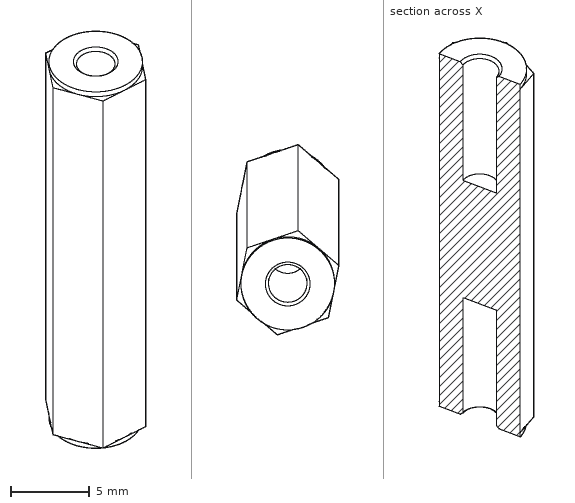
import cadquery as cq
import math

length = 30.0
hex_sides = 6
across_flats = 6.0
boss_height = 0.4
hole_diameter = 2.46
hole_depth = 10.0
hole_chamfer = 0.2

across_corners = across_flats / math.cos(math.pi / hex_sides)
boss_diameter = across_flats
hex_height = length - 2 * boss_height


def standoff_body():
    """Round core over the full length, with the hexagon between the end bosses."""
    core = cq.Workplane("XY").circle(boss_diameter / 2).extrude(length)
    hexagon = (
        cq.Workplane("XY")
        .workplane(offset=boss_height)
        .polygon(hex_sides, across_corners)
        .extrude(hex_height)
    )
    return core.union(hexagon)


def top_hole_cutter():
    """Flat-bottomed hole with a 45 degree chamfer at its mouth in the top face."""
    hole_radius = hole_diameter / 2
    mouth_radius = hole_radius + hole_chamfer
    half_section = [
        (0, length - hole_depth),
        (hole_radius, length - hole_depth),
        (hole_radius, length - hole_chamfer),
        (mouth_radius, length),
        (0, length),
    ]
    return cq.Workplane("XZ").polyline(half_section).close().revolve(360, (0, 0), (0, 1))


top_hole = top_hole_cutter()
bottom_hole = top_hole.mirror("XY", (0, 0, length / 2))

result = standoff_body().cut(top_hole).cut(bottom_hole)